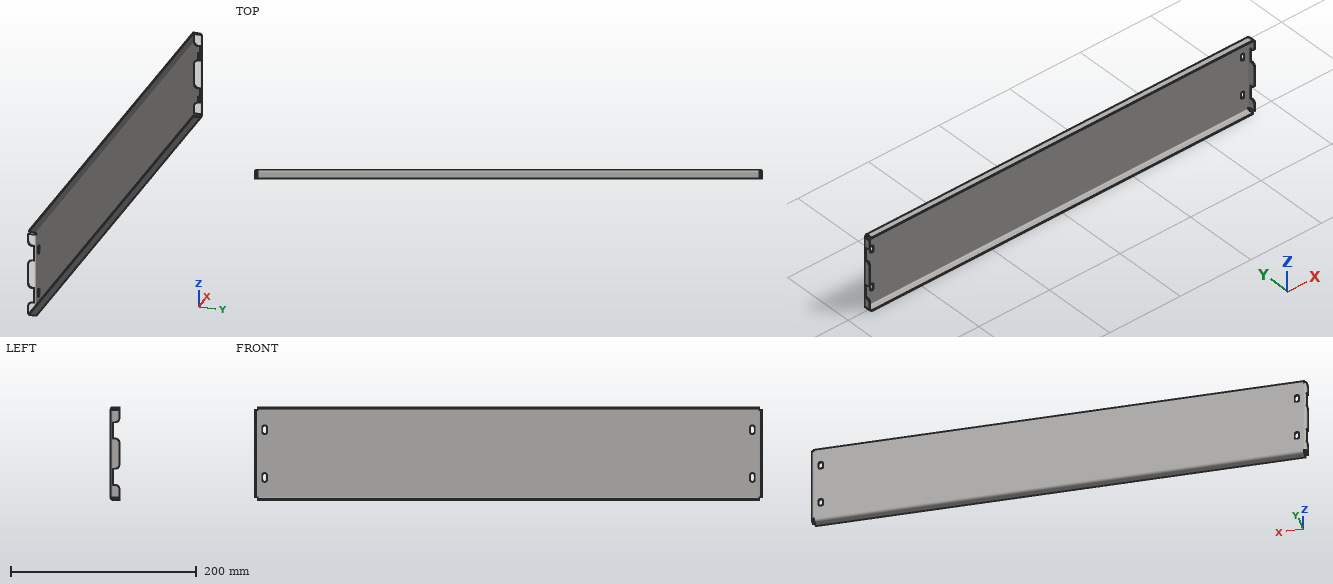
import cadquery as cq
import math

length = 547.0
depth = 10.0
height = 100.0
sheet = 1.5
bend_radius = 3.0

hole_width = 5.0
hole_height = 9.5
hole_spacing_x = 525.5
hole_spacing_z = 51.5

middle_tab_half = 16.5
corner_tab_end = 16.5
tab_radius = 5.0
window_depth = depth - bend_radius

front_y = -depth / 2
back_y = depth / 2


def bent_block(inset, front_extension):
    """Block inset from the tray's outer faces, with the bends rounded along its back face."""
    block_depth = depth - inset + front_extension
    return (
        cq.Workplane("XY")
        .box(length - 2 * inset, block_depth, height - 2 * inset)
        .translate((0, back_y - inset - block_depth / 2, 0))
        .faces(">Y")
        .edges()
        .fillet(bend_radius - inset)
    )


def corner_notches():
    """Square cutouts that leave neighbouring flanges apart at the four corners."""
    return (
        cq.Workplane("XZ")
        .rarray(length - bend_radius, height - bend_radius, 2, 2)
        .rect(bend_radius, bend_radius)
        .extrude(depth, both=True)
    )


def end_windows(side):
    """Openings above (side = 1) or below (side = -1) the middle tab of both end flanges.

    Each opening widens at the free edge, following the rounded corners of the tabs beside it.
    """
    root_y = front_y + window_depth
    round_y = front_y + tab_radius
    arc_offset = tab_radius * (1 - math.sqrt(0.5))
    inner_z = side * middle_tab_half
    outer_z = side * (height / 2 - corner_tab_end)
    return (
        cq.Workplane("YZ")
        .moveTo(root_y, inner_z)
        .lineTo(round_y, inner_z)
        .threePointArc(
            (front_y + arc_offset, inner_z - side * arc_offset),
            (front_y, inner_z - side * tab_radius),
        )
        .lineTo(front_y, outer_z + side * tab_radius)
        .threePointArc(
            (front_y + arc_offset, outer_z + side * arc_offset),
            (round_y, outer_z),
        )
        .lineTo(root_y, outer_z)
        .close()
        .extrude(length, both=True)
    )


def mounting_holes():
    """Four upright slots through the back plate."""
    return (
        cq.Workplane("XZ")
        .rarray(hole_spacing_x, hole_spacing_z, 2, 2)
        .slot2D(hole_height, hole_width, 90)
        .extrude(depth, both=True)
    )


tray = bent_block(0, 0).cut(bent_block(sheet, depth))
tray = tray.cut(corner_notches())
for side in (-1, 1):
    tray = tray.cut(end_windows(side))
result = tray.cut(mounting_holes())